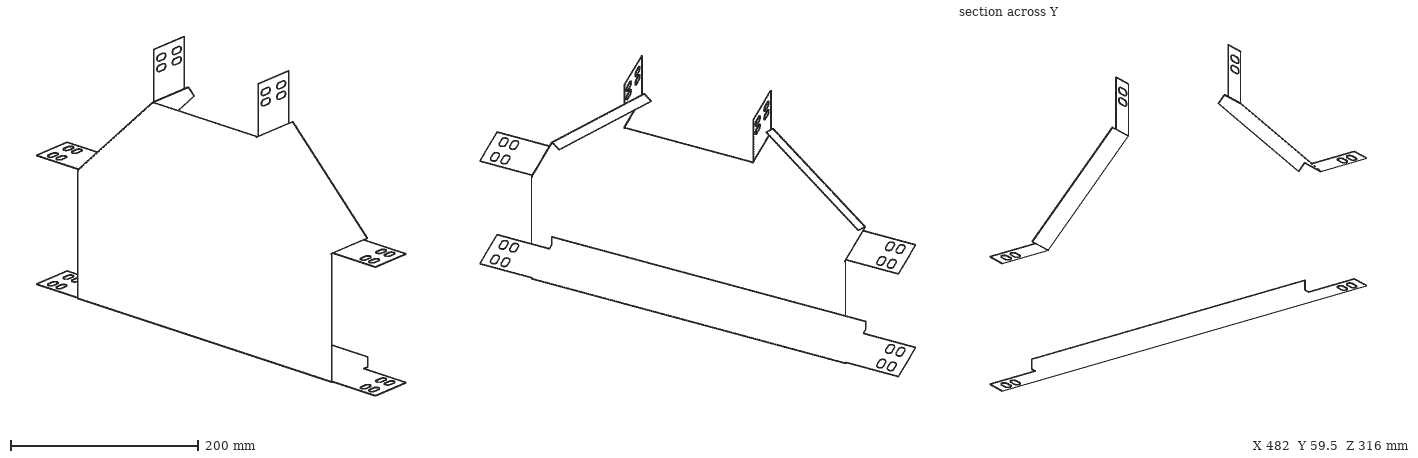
import cadquery as cq
import math

total_length = 482.0
depth = 59.5
sheet = 1.0
inner_radius = 0.5

arm_height = 149.5
slope_rise = 106.0
slope_angle = 45

lip_width = 12.0

tab_length = 60.5
tab_width = 49.5
tab_front_gap = 2.5

slot_length = 14.0
slot_width = 7.0
slot_end_distance = 12.5
slot_row_pitch = 12.0
slot_column_pitch = 25.0

half_total = total_length / 2
half_body = half_total - tab_length
half_neck = half_body - slope_rise
neck_z = arm_height + slope_rise
outer_radius = inner_radius + sheet
tab_overlap = sheet * math.tan(math.radians(slope_angle / 2))


def mirrored_pair(side):
    return side.union(side.mirror("YZ"))


def make_tab():
    """Flat slotted tab: root at X = 0, end at X = tab_length, top face at Z = 0."""
    tab = cq.Workplane("XY").box(tab_length + tab_overlap, tab_width, sheet, centered=False)
    tab = tab.translate((-tab_overlap, tab_front_gap, -sheet))
    pattern_x = tab_length - slot_end_distance - slot_row_pitch / 2
    pattern_y = tab_front_gap + tab_width / 2
    slots = (
        cq.Workplane("XY", origin=(pattern_x, pattern_y, -sheet))
        .rarray(slot_row_pitch, slot_column_pitch, 2, 2)
        .slot2D(slot_length, slot_width, 90)
        .extrude(sheet)
    )
    return tab.cut(slots)


def make_face_plate():
    """Flat plate that stops where the bends of the three walls begin."""
    slope_inset = outer_radius * math.sqrt(2)
    right_edge = [
        (half_body, outer_radius),
        (half_body, arm_height - slope_inset),
        (half_neck - slope_inset, neck_z),
    ]
    left_edge = [(-x, z) for x, z in reversed(right_edge)]
    return cq.Workplane("XZ").polyline(right_edge + left_edge).close().extrude(-sheet)


def make_wall(length):
    """Wall along +X from the origin, outer face on Z = 0, both long edges bent up towards +Z."""
    block = cq.Workplane("XY").box(length, depth, lip_width, centered=False)
    block = block.edges("|X and <Z").fillet(outer_radius)
    cavity = cq.Workplane("XY", origin=(0, sheet, sheet))
    cavity = cavity.box(length, depth - 2 * sheet, lip_width, centered=False)
    cavity = cavity.edges("|X and <Z").fillet(inner_radius)
    return block.cut(cavity)


def make_bottom_wall():
    return make_wall(2 * half_body).translate((-half_body, 0, 0))


def make_left_sloped_wall():
    """Wall rising from the arm to the neck, turned over so its bent edges face inwards."""
    wall = make_wall(slope_rise * math.sqrt(2)).mirror("XY")
    wall = wall.rotate((0, 0, 0), (0, 1, 0), -slope_angle)
    return wall.translate((-half_body, 0, arm_height))


def make_right_tabs():
    tab = make_tab()
    bottom_tab = tab.translate((half_body, 0, sheet))
    arm_tab = tab.translate((half_body, 0, arm_height))
    neck_tab = tab.mirror("XY").rotate((0, 0, 0), (0, 1, 0), -90)
    neck_tab = neck_tab.translate((half_neck, 0, neck_z))
    return bottom_tab.union(arm_tab).union(neck_tab)


result = (
    make_face_plate()
    .union(make_bottom_wall())
    .union(mirrored_pair(make_left_sloped_wall()))
    .union(mirrored_pair(make_right_tabs()))
)